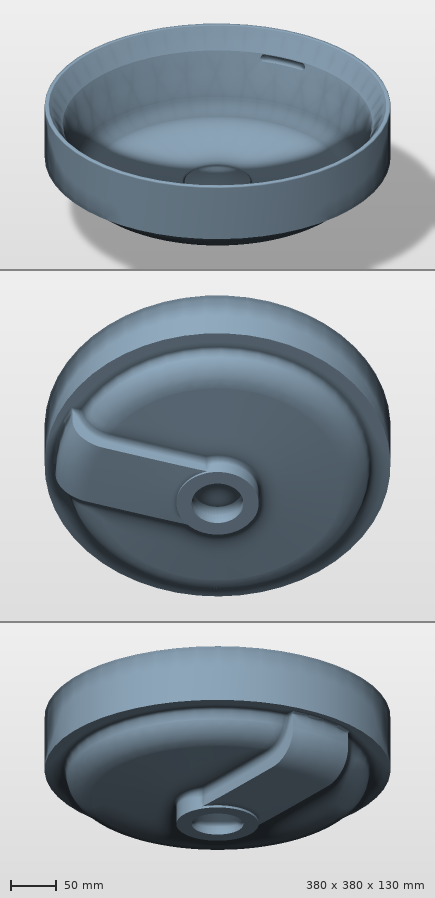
import cadquery as cq
import math

rim_radius = 190.0
total_height = 130.0
band_height = 65.0
band_bottom = total_height - band_height

mouth_radius = 185.5
knee_radius = 170.2
knee_z = 106.5
wall_foot_radius = 155.0
wall_foot_z = 56.5
floor_radius = 138.5
floor_z = 41.8
rim_fillet = 1.5

belly_top_radius = 168.5
belly_foot_radius = 165.0
belly_foot_z = 52.5
under_radius = 138.7
under_z = 32.3
under_center_z = 24.7

outlet_radius = 45.2
outlet_blend = 3.5
drain_mouth_radius = 38.8
drain_mouth_z = 35.5
drain_mouth_chamfer = 1.0
recess_radius = drain_mouth_radius - drain_mouth_chamfer
seat_z = 27.5
bore_radius = 28.5

channel_width = 79.8
channel_radius = 178.0
channel_bend_z = 47.5
channel_bend_end_radius = 143.0
channel_bend_end_z = 10.3
channel_end_z = 2.5
slot_length = 54.0
slot_height = 7.5
slot_top_z = 105.5
slot_end_y = 178.5

underside_blend = 2.5

plug_radius = 36.5
plug_edge_fillet = 1.0
plug_edge_z = 35.5
plug_dome_height = 6.5


def arc_middle_on_ellipse(center, radius, height):
    """Middle point of the lower, outer quarter of an axis-aligned ellipse."""
    return center[0] + radius * math.sqrt(0.5), center[1] - height * math.sqrt(0.5)


def make_bowl_shell():
    """Revolved rim band, bowl and outlet, with the stepped drain hole through the middle."""
    blend_center = (outlet_radius + outlet_blend, under_center_z - outlet_blend)
    blend_middle = (
        blend_center[0] - outlet_blend * math.sqrt(0.5),
        blend_center[1] + outlet_blend * math.sqrt(0.5),
    )
    profile = (
        cq.Workplane("XZ")
        .moveTo(bore_radius, 0)
        .lineTo(outlet_radius, 0)
        .lineTo(outlet_radius, blend_center[1])
        .threePointArc(blend_middle, (blend_center[0], under_center_z))
        .lineTo(under_radius, under_z)
        .tangentArcPoint((belly_foot_radius, belly_foot_z), relative=False)
        .lineTo(belly_top_radius, band_bottom)
        .lineTo(rim_radius, band_bottom)
        .lineTo(rim_radius, total_height)
        .lineTo(mouth_radius, total_height)
        .lineTo(knee_radius, knee_z)
        .lineTo(wall_foot_radius, wall_foot_z)
        .tangentArcPoint((floor_radius, floor_z), relative=False)
        .lineTo(drain_mouth_radius, drain_mouth_z)
        .lineTo(recess_radius, drain_mouth_z - drain_mouth_chamfer)
        .lineTo(recess_radius, seat_z)
        .lineTo(bore_radius, seat_z)
        .close()
    )
    shell = profile.revolve(360, (0, 0, 0), (0, 1, 0))
    return shell.faces(">Z").edges().fillet(rim_fillet)


def make_overflow_channel():
    """Strip of a revolved shell, hugging the underside from the rim band to the outlet."""
    bend_center = (channel_bend_end_radius, channel_bend_z)
    bend_middle = arc_middle_on_ellipse(
        bend_center,
        channel_radius - channel_bend_end_radius,
        channel_bend_z - channel_bend_end_z,
    )
    profile = (
        cq.Workplane("XZ")
        .moveTo(bore_radius, channel_end_z)
        .lineTo(outlet_radius, channel_end_z)
        .lineTo(channel_bend_end_radius, channel_bend_end_z)
        .threePointArc(bend_middle, (channel_radius, channel_bend_z))
        .lineTo(channel_radius, band_bottom)
        .lineTo(belly_top_radius, band_bottom)
        .lineTo(belly_foot_radius, belly_foot_z)
        .lineTo(under_radius, (under_z + floor_z) / 2)
        .lineTo(outlet_radius, under_center_z)
        .lineTo(bore_radius, under_center_z)
        .close()
    )
    revolved = profile.revolve(360, (0, 0, 0), (0, 1, 0))
    strip = cq.Workplane("XY").box(
        channel_width, rim_radius, total_height, centered=(True, False, False)
    )
    return revolved.intersect(strip)


def make_overflow_slot():
    """Round-ended cutter for the inlet slot just under the knee of the back wall."""
    cutter = cq.Workplane("XZ", origin=(0, slot_end_y, slot_top_z - slot_height / 2))
    return cutter.slot2D(slot_length, slot_height).extrude(slot_end_y - wall_foot_radius + 2 * slot_height)


def make_plug():
    """Domed plug resting on the seat of the drain recess."""
    crown_radius = plug_radius - plug_edge_fillet
    shoulder_z = plug_edge_z - plug_edge_fillet
    edge_middle = (
        crown_radius + plug_edge_fillet * math.sqrt(0.5),
        shoulder_z + plug_edge_fillet * math.sqrt(0.5),
    )
    dome_radius = (crown_radius**2 + plug_dome_height**2) / (2 * plug_dome_height)
    dome_center_z = plug_edge_z + plug_dome_height - dome_radius
    dome_middle_radius = crown_radius / 2
    dome_middle_z = dome_center_z + math.sqrt(dome_radius**2 - dome_middle_radius**2)
    profile = (
        cq.Workplane("XZ")
        .moveTo(0, seat_z)
        .lineTo(plug_radius, seat_z)
        .lineTo(plug_radius, shoulder_z)
        .threePointArc(edge_middle, (crown_radius, plug_edge_z))
        .threePointArc((dome_middle_radius, dome_middle_z), (0, plug_edge_z + plug_dome_height))
        .close()
    )
    return profile.revolve(360, (0, 0, 0), (0, 1, 0))


def blend_underside(body):
    """Fillet the inner corners between the belly, the rim band and the channel."""
    margin = 0.2
    reach = channel_radius + margin
    corners = body.edges(
        cq.selectors.BoxSelector(
            (-reach, -reach, band_bottom - margin),
            (reach, reach, band_bottom + margin),
            boundingbox=True,
        )
    )
    for side in (-1, 1):
        flank_x = side * channel_width / 2
        corners = corners.add(
            body.edges(
                cq.selectors.BoxSelector(
                    (flank_x - margin, outlet_radius, under_z - margin),
                    (flank_x + margin, belly_top_radius, band_bottom + margin),
                    boundingbox=True,
                )
            )
        )
    return body.newObject([body.val().fillet(underside_blend, corners.vals())])


underside = blend_underside(make_bowl_shell().union(make_overflow_channel()))
basin = underside.cut(make_overflow_slot())
plug = make_plug()

result = cq.Compound.makeCompound([basin.solids().val(), plug.val()])